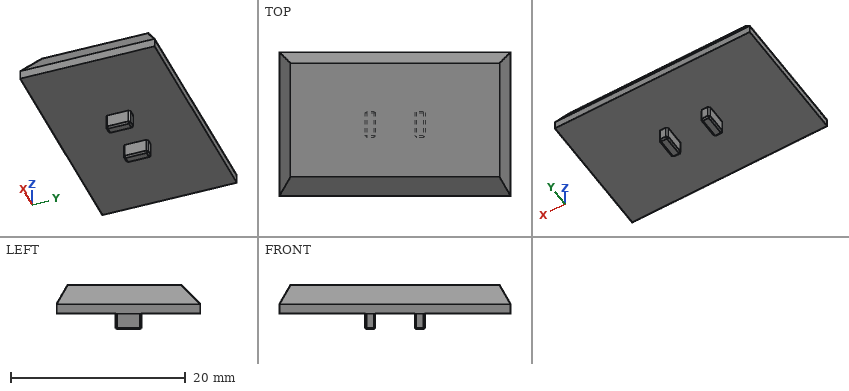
import cadquery as cq
import math

cap_length = 26.5
cap_width = 16.5
rim_height = 1.1
crown_height = 2.2

front_bevel_angle = 45.0
other_bevel_angle = 30.0

peg_thickness = 1.2
peg_width = 3.0
peg_length = 1.8
peg_spacing = 5.7
peg_chamfer = 0.2


def bevel_inset(angle):
    """Horizontal run of a bevel over the crown height."""
    return crown_height * math.tan(math.radians(angle))


def make_rim():
    return cq.Workplane("XY").box(cap_length, cap_width, rim_height, centered=(True, True, False))


def make_crown():
    """Frustum whose front (-Y) side slopes more gently than the other three."""
    front_inset = bevel_inset(front_bevel_angle)
    other_inset = bevel_inset(other_bevel_angle)
    top_length = cap_length - 2 * other_inset
    top_width = cap_width - front_inset - other_inset
    top_center_y = (front_inset - other_inset) / 2
    return (
        cq.Workplane("XY", origin=(0, 0, rim_height))
        .rect(cap_length, cap_width)
        .workplane(offset=crown_height)
        .center(0, top_center_y)
        .rect(top_length, top_width)
        .loft(ruled=True, combine=True)
    )


def make_peg(center_x):
    """Rectangular peg with chamfered upright edges and lower end."""
    return (
        cq.Workplane("XY", origin=(center_x, 0, -peg_length))
        .box(peg_thickness, peg_width, peg_length, centered=(True, True, False))
        .edges("|Z or <Z")
        .chamfer(peg_chamfer)
    )


result = make_rim().union(make_crown())
for side in (-1, 1):
    result = result.union(make_peg(side * peg_spacing / 2))